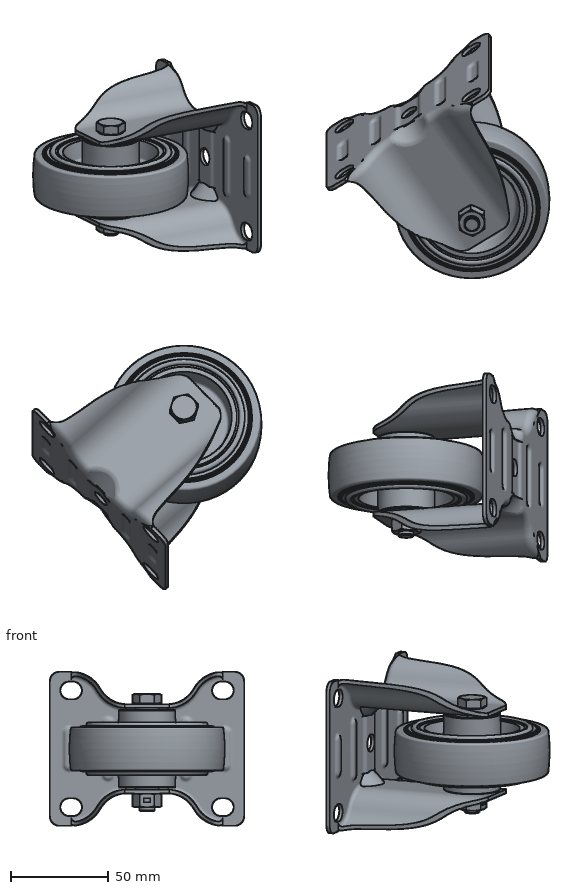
import cadquery as cq
import math


PLATE_WIDTH = 100.0
PLATE_HEIGHT = 79.3
PLATE_BACK_Y = 60.0
SHEET = 2.0
CORNER_RADIUS = 5.0
MOUNT_SPACING_X = 78.0
MOUNT_SPACING_Z = 60.0
MOUNT_SLOT_LENGTH = 11.0
MOUNT_SLOT_WIDTH = 9.0
CENTRE_HOLE_DIAMETER = 9.0

LEG_OUTER_Z = 23.0
LEG_FLAT_HALF = 10.8
WING_ANGLE = math.radians(57)
WING_INNER_RADIUS = 14.9
WING_STRAIGHT = 2.4
LEG_TIP_Y = -14.0
BEND_RADIUS = 4.0
PLATE_BEND_START = (27.3, 29.2)
LEG_EDGE_X = 39.0
LEG_EDGE = [(35.4, 5.2), (33.4, 12.0), (31.9, 26.0), (28.6, 42.5), (24.2, 54.0), (17.3, 68.6)]
LEG_TIP_HALF = 11.5
TIP_CORNER_MID = (15.0, -11.9)

BEAD_HEIGHT = 1.3
BEAD_BASE_HALF = 4.2
BEAD_TOP_HALF = 1.0
BEADS = [(40.0, 8.3), (20.0, 13.3)]
CHANNEL_BASE_HALF = 8.2
CHANNEL_TOP_HALF = 4.4
CHANNEL_HALF_LENGTH = 15.0
GUSSET_RADIUS = 13.2
GUSSET_DEPTH = 9.0
GUSSET_FILLET = 3.0

TYRE_RADIUS = 40.0
RIM_RADIUS = 34.6
HUB_HALF_LENGTH = 20.0
HUB_RADIUS = 14.6
HUB_BASE_RADIUS = 14.8
HUB_EDGE = 0.4
HUB_BORE_RADIUS = 8.0
WEB_HALF = 2.2
RIM_FACE_Z = 12.0
RIM_WALL_RADIUS = 24.6
RIM_STEP_RADIUS = 27.2
RIM_STEP_Z = 12.5
RIM_LIP_Z = 11.8
RIM_EDGE = [(33.2, RIM_LIP_Z), (33.6, 11.5), (34.2, 11.5)]
RIDGE_Z = 13.6
RIDGE_INNER_RADIUS = 28.3
RIDGE_OUTER_RADIUS = 31.3
RIDGE_TOP_RADIUS = 29.7
WEB_RADIUS = 22.9
WEB_FILLET = 1.5
TYRE_SIDE_Z = 11.2
TYRE_BEVEL = 0.5
TREAD = [(39.4, 9.7), (39.7, 6.9), (39.9, 3.4)]
SHOULDER_RADIUS = 39.3
SHOULDER_FILLET = 1.2
BEARING_RADIUS = 13.0
BEARING_WIDTH = 8.0
SLEEVE_RADIUS = 6.1

BOLT_DIAMETER = 8.0
BOLT_END_Z = -32.1
BOLT_END_CHAMFER = 0.6
ACROSS_FLATS = 13.0
WASHER_FACE_DIAMETER = 12.8
WASHER_FACE_HEIGHT = 0.5
HEAD_HEIGHT = 4.7
NUT_HEIGHT = 7.0
HEX_CHAMFER_HEIGHT = 0.5
NUT_MARK_WIDTH = 3.2
NUT_MARK_HEIGHT = 2.1
NUT_MARK_DEPTH = 0.3

HALF_HEIGHT = PLATE_HEIGHT / 2
HALF_WIDTH = PLATE_WIDTH / 2
LEG_INNER_Z = LEG_OUTER_Z - SHEET
PLATE_FRONT_Y = PLATE_BACK_Y - SHEET
SLOPE = math.sqrt(0.5)
GUSSET_AXIS_Y = PLATE_BACK_Y - GUSSET_DEPTH + GUSSET_RADIUS * SLOPE
GUSSET_AXIS_Z = LEG_OUTER_Z + GUSSET_RADIUS * SLOPE


def plate_plane(depth):
    """Plane parallel to the plate, at a distance from its back, facing the wheel."""
    return cq.Workplane("XZ", origin=(0, PLATE_BACK_Y - depth, 0))


def quarter_block(inset, width, depth):
    """Quarter of the X-shaped block inside the legs' outer surface, shrunk by inset."""
    sin_a = math.sin(WING_ANGLE)
    cos_a = math.cos(WING_ANGLE)
    sin_half = math.sin(WING_ANGLE / 2)
    cos_half = math.cos(WING_ANGLE / 2)
    concave_rise = WING_INNER_RADIUS * (1 - cos_a)
    straight_rise = WING_STRAIGHT * sin_a
    convex_rise = HALF_HEIGHT - LEG_OUTER_Z - concave_rise - straight_rise
    convex = convex_rise / (1 - cos_a) - inset
    concave = WING_INNER_RADIUS + inset
    centre_z = LEG_OUTER_Z + WING_INNER_RADIUS
    top_z = HALF_HEIGHT - inset
    concave_end = (LEG_FLAT_HALF + concave * sin_a, centre_z - concave * cos_a)
    convex_start = (concave_end[0] + WING_STRAIGHT * cos_a, concave_end[1] + straight_rise)
    convex_end = (convex_start[0] + convex * sin_a, top_z)
    concave_mid = (LEG_FLAT_HALF + concave * sin_half, centre_z - concave * cos_half)
    convex_mid = (convex_end[0] - convex * sin_half, top_z - convex * (1 - cos_half))
    block = (
        plate_plane(inset)
        .lineTo(0, LEG_OUTER_Z - inset)
        .lineTo(LEG_FLAT_HALF, LEG_OUTER_Z - inset)
        .threePointArc(concave_mid, concave_end)
        .lineTo(*convex_start)
        .threePointArc(convex_mid, convex_end)
        .lineTo(width, top_z)
        .lineTo(width, 0)
        .close()
        .extrude(depth)
    )
    bend_edges = block.faces(">Y").edges(cq.selectors.BoxSelector(
        (0.1, PLATE_BACK_Y - inset - 1, 1), (width - 0.1, PLATE_BACK_Y + 1, HALF_HEIGHT + 1)
    ))
    return bend_edges.fillet(BEND_RADIUS - inset)


def leg_trim():
    """Quarter prism that gives the legs their side edges and tip."""
    edge = [(x, PLATE_BACK_Y - depth) for x, depth in LEG_EDGE]
    return (
        cq.Workplane("XY")
        .moveTo(0, PLATE_BACK_Y)
        .lineTo(LEG_EDGE_X, PLATE_BACK_Y)
        .lineTo(LEG_EDGE_X, PLATE_FRONT_Y)
        .spline(edge, includeCurrent=True)
        .threePointArc(TIP_CORNER_MID, (LEG_TIP_HALF, LEG_TIP_Y))
        .lineTo(0, LEG_TIP_Y)
        .close()
        .extrude(HALF_HEIGHT)
    )


def plate_wing():
    """Quarter of the flat plate outside the bend, with its rounded corner."""
    return (
        plate_plane(0)
        .moveTo(PLATE_BEND_START[0], 0)
        .lineTo(*PLATE_BEND_START)
        .lineTo(LEG_EDGE_X, HALF_HEIGHT)
        .lineTo(HALF_WIDTH, HALF_HEIGHT)
        .lineTo(HALF_WIDTH, 0)
        .close()
        .extrude(SHEET)
        .edges("|Y and >X and >Z")
        .fillet(CORNER_RADIUS)
    )


def bead_half_section(plane, base_half, top_half):
    """Half cross-section of a pressed bead: flat top and an S-shaped flank."""
    flank = base_half - top_half
    angle = 2 * math.atan(BEAD_HEIGHT / flank)
    radius = flank / (2 * math.sin(angle))
    reach = radius * math.sin(angle / 2)
    drop = radius * (1 - math.cos(angle / 2))
    return (
        plane
        .lineTo(0, BEAD_HEIGHT)
        .lineTo(top_half, BEAD_HEIGHT)
        .threePointArc((top_half + reach, BEAD_HEIGHT - drop),
                       ((top_half + base_half) / 2, BEAD_HEIGHT / 2))
        .threePointArc((base_half - reach, drop), (base_half, 0))
        .close()
    )


def bead_plane(z):
    """Plane across a bead on the plate front: local Y points at the wheel."""
    return cq.Workplane(cq.Plane(origin=(0, PLATE_FRONT_Y, z), xDir=(1, 0, 0), normal=(0, 0, -1)))


def bead(x, half_length):
    """Bead along Z with a round end at each half length from mid-height."""
    section = bead_half_section(bead_plane(half_length), BEAD_BASE_HALF, BEAD_TOP_HALF)
    half_bar = section.extrude(2 * half_length)
    end = bead_half_section(bead_plane(half_length), BEAD_BASE_HALF, BEAD_TOP_HALF)
    end = end.revolve(360, (0, 0), (0, 1))
    bar = half_bar.union(half_bar.mirror("YZ"))
    return bar.union(end).union(end.mirror("XY")).translate((x, 0, 0))


def channel():
    """Wide bead that joins the two gussets down the plate middle."""
    section = bead_half_section(bead_plane(CHANNEL_HALF_LENGTH), CHANNEL_BASE_HALF, CHANNEL_TOP_HALF)
    half_bar = section.extrude(2 * CHANNEL_HALF_LENGTH)
    return half_bar.union(half_bar.mirror("YZ"))


def press(sheet, pressing):
    """Raise a pressing on the plate front and sink the same shape into its back."""
    return sheet.union(pressing).cut(pressing.translate((0, SHEET, 0)))


def gusset_cylinder(radius):
    """Cylinder at 45 degrees across the bend, whose lowest line forms the gusset ridge."""
    length = PLATE_WIDTH
    reach = length / 2 * SLOPE
    start = cq.Vector(0, GUSSET_AXIS_Y + reach, GUSSET_AXIS_Z - reach)
    return cq.Workplane(cq.Solid.makeCylinder(radius, length, start, cq.Vector(0, -SLOPE, SLOPE)))


def on_gusset_dent(edge):
    """True for an edge whose middle lies on the surface of the gusset dent."""
    middle = edge.positionAt(0.5)
    height = (middle.y - GUSSET_AXIS_Y + middle.z - GUSSET_AXIS_Z) * SLOPE
    return abs(math.hypot(middle.x, height) - GUSSET_RADIUS) < 0.01


def make_bracket():
    """Bracket: a quarter is mirrored left to right, given its gusset, and mirrored again."""
    envelope = quarter_block(0, HALF_WIDTH, PLATE_BACK_Y - LEG_TIP_Y)
    void = quarter_block(SHEET, PLATE_WIDTH, PLATE_WIDTH)
    quarter = envelope.cut(void).intersect(leg_trim()).union(plate_wing())
    half = quarter.union(quarter.mirror("YZ"))

    half_envelope = envelope.union(envelope.mirror("YZ"))
    half = half.union(half_envelope.intersect(gusset_cylinder(GUSSET_RADIUS + SHEET)))
    half = half.cut(gusset_cylinder(GUSSET_RADIUS))
    half = half.edges().filter(on_gusset_dent).fillet(GUSSET_FILLET)
    bracket = half.union(half.mirror("XY"))

    bracket = press(bracket, channel())
    for x, half_length in BEADS:
        for side in (1, -1):
            bracket = press(bracket, bead(side * x, half_length))

    mount_slots = (
        plate_plane(0)
        .rarray(MOUNT_SPACING_X, MOUNT_SPACING_Z, 2, 2)
        .slot2D(MOUNT_SLOT_LENGTH, MOUNT_SLOT_WIDTH)
        .extrude(SHEET)
    )
    centre_hole = plate_plane(0).circle(CENTRE_HOLE_DIAMETER / 2).extrude(SHEET + BEAD_HEIGHT)
    bolt_holes = cq.Workplane("XY").circle(BOLT_DIAMETER / 2).extrude(LEG_OUTER_Z, both=True)
    return bracket.cut(mount_slots).cut(centre_hole).cut(bolt_holes)


def revolve_half(points):
    """Revolve an outline of (radius, z) points above z = 0 about the wheel axis."""
    return cq.Workplane("XZ").polyline(points).close().revolve(360, (0, 0), (0, 1))


def both_sides(upper):
    """Join the part above z = 0 with its mirror image below."""
    return upper.union(upper.mirror("XY"))


def round_circle(body, radius, z, fillet):
    """Round the circular edge that has this radius at this height."""
    edge = body.edges(cq.selectors.BoxSelector((-radius, -radius, z - 0.01), (radius, radius, z + 0.01)))
    edge = edge.filter(lambda item: abs(item.radius() - radius) < 0.01)
    return edge.fillet(fillet)


def make_rim():
    """Wheel centre: hub with bearing seats, thin web and outer rim with a round ridge."""
    seat_z = HUB_HALF_LENGTH - BEARING_WIDTH
    inner_side = [
        (HUB_BORE_RADIUS, 0),
        (HUB_BORE_RADIUS, seat_z),
        (BEARING_RADIUS, seat_z),
        (BEARING_RADIUS, HUB_HALF_LENGTH),
        (HUB_RADIUS - HUB_EDGE, HUB_HALF_LENGTH),
        (HUB_RADIUS, HUB_HALF_LENGTH - HUB_EDGE),
        (HUB_BASE_RADIUS, WEB_HALF),
        (WEB_RADIUS, WEB_HALF),
        (RIM_WALL_RADIUS, RIM_FACE_Z),
        (RIM_STEP_RADIUS, RIM_FACE_Z),
        (RIM_STEP_RADIUS, RIM_STEP_Z),
        (RIDGE_INNER_RADIUS, RIM_STEP_Z),
    ]
    rim_edge = [
        *RIM_EDGE,
        (RIM_RADIUS, TYRE_SIDE_Z),
        (RIM_RADIUS, 0),
    ]
    half_rim = (
        cq.Workplane("XZ")
        .polyline(inner_side)
        .threePointArc((RIDGE_TOP_RADIUS, RIDGE_Z), (RIDGE_OUTER_RADIUS, RIM_LIP_Z))
        .polyline(rim_edge, includeCurrent=True)
        .close()
        .revolve(360, (0, 0), (0, 1))
    )
    half_rim = round_circle(half_rim, HUB_BASE_RADIUS, WEB_HALF, WEB_FILLET)
    half_rim = round_circle(half_rim, WEB_RADIUS, WEB_HALF, WEB_FILLET)
    return both_sides(half_rim)


def make_tyre():
    """Tyre with a slightly crowned tread and rounded shoulders."""
    outline = [
        (RIM_RADIUS, 0),
        (RIM_RADIUS, TYRE_SIDE_Z - TYRE_BEVEL),
        (RIM_RADIUS + TYRE_BEVEL, TYRE_SIDE_Z),
        (SHOULDER_RADIUS, TYRE_SIDE_Z),
        *TREAD,
        (TYRE_RADIUS, 0),
    ]
    half_tyre = round_circle(revolve_half(outline), SHOULDER_RADIUS, TYRE_SIDE_Z, SHOULDER_FILLET)
    return both_sides(half_tyre)


def make_bearing(side):
    """Bearing in the hub end on the +Z side (side 1) or the -Z side (side -1)."""
    inner_z = side * (HUB_HALF_LENGTH - BEARING_WIDTH)
    return (
        cq.Workplane("XY", origin=(0, 0, inner_z))
        .circle(BEARING_RADIUS)
        .circle(SLEEVE_RADIUS)
        .extrude(side * BEARING_WIDTH)
    )


def make_sleeve():
    """Spacer tube clamped between the legs, through both bearings."""
    return cq.Workplane("XY").circle(SLEEVE_RADIUS).circle(BOLT_DIAMETER / 2).extrude(LEG_INNER_Z, both=True)


def hexagon(bottom_z, height, chamfered_edges):
    """Hexagonal prism with corners on X and chamfered ends."""
    corner_diameter = ACROSS_FLATS / math.cos(math.pi / 6)
    chamfer_width = (corner_diameter - ACROSS_FLATS) / 2
    base = cq.Workplane("XY", origin=(0, 0, bottom_z))
    prism = base.polygon(6, corner_diameter).extrude(height)
    turned = base.circle(corner_diameter / 2).extrude(height)
    turned = turned.faces(chamfered_edges).chamfer(HEX_CHAMFER_HEIGHT, chamfer_width)
    return prism.intersect(turned)


def make_bolt():
    """Hexagon bolt through legs, sleeve and nut, with its head on the +Z leg."""
    washer_face = cq.Workplane("XY", origin=(0, 0, LEG_OUTER_Z)).circle(WASHER_FACE_DIAMETER / 2)
    washer_face = washer_face.extrude(WASHER_FACE_HEIGHT)
    head = hexagon(LEG_OUTER_Z + WASHER_FACE_HEIGHT, HEAD_HEIGHT, ">Z")
    shank = (
        cq.Workplane("XY", origin=(0, 0, BOLT_END_Z))
        .circle(BOLT_DIAMETER / 2)
        .extrude(LEG_OUTER_Z - BOLT_END_Z)
        .faces("<Z")
        .chamfer(BOLT_END_CHAMFER)
    )
    return shank.union(washer_face).union(head)


def make_nut():
    """Nut on the -Z leg, with a shallow rectangular mark on its -Y flat."""
    nut = hexagon(-LEG_OUTER_Z - NUT_HEIGHT, NUT_HEIGHT, "<Z or >Z")
    mark = cq.Workplane("XY").box(NUT_MARK_WIDTH, 2 * NUT_MARK_DEPTH, NUT_MARK_HEIGHT)
    mark = mark.translate((0, -ACROSS_FLATS / 2, -LEG_OUTER_Z - NUT_HEIGHT / 2))
    bore = cq.Workplane("XY").circle(BOLT_DIAMETER / 2).extrude(-PLATE_HEIGHT)
    return nut.cut(mark).cut(bore)


bracket = make_bracket()
rim = make_rim()
tyre = make_tyre()
bearings = [make_bearing(side) for side in (1, -1)]
sleeve = make_sleeve()
bolt = make_bolt()
nut = make_nut()

result = cq.Compound.makeCompound([
    bracket.val(),
    rim.val(),
    tyre.val(),
    *[bearing.val() for bearing in bearings],
    sleeve.val(),
    bolt.val(),
    nut.val(),
])